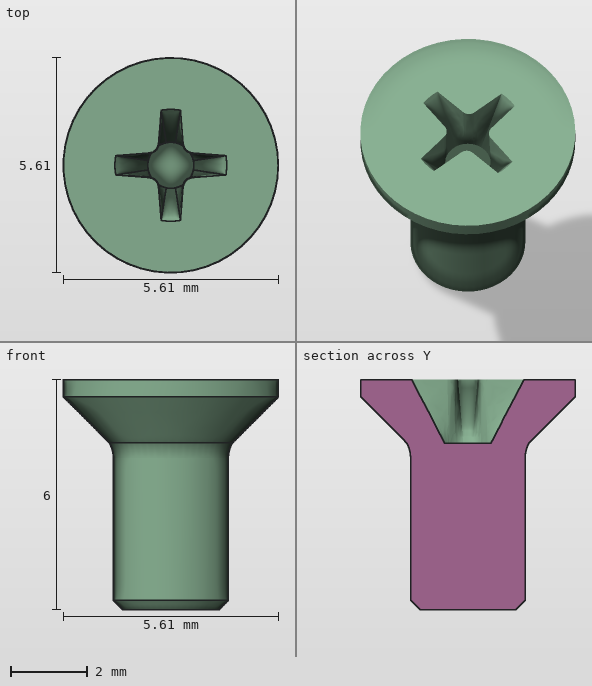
import cadquery as cq
import math

total_length = 6.0
head_radius = 5.605 / 2
rim_height = 0.45
head_height = 1.65
neck_height = 0.39
shank_radius = 1.5
tip_chamfer = 0.25

recess_depth = 1.65
floor_radius = 0.6
wing_reach = 1.46
tip_width = 0.505
flank_taper = 4.5
corner_radius = 0.23
floor_tip_width = 0.24
floor_corner_angle = 10


def make_body():
    """Revolve the half profile of the head, neck and shank."""
    rim_bottom = total_length - rim_height
    cone_bottom = total_length - head_height
    cone_bottom_radius = head_radius - (head_height - rim_height)
    shank_top = cone_bottom - neck_height
    return (
        cq.Workplane("XZ")
        .lineTo(shank_radius - tip_chamfer, 0)
        .lineTo(shank_radius, tip_chamfer)
        .lineTo(shank_radius, shank_top)
        .tangentArcPoint((cone_bottom_radius, cone_bottom), relative=False)
        .lineTo(head_radius, rim_bottom)
        .lineTo(head_radius, total_length)
        .lineTo(0, total_length)
        .close()
        .revolve(360, (0, 0, 0), (0, 1, 0))
    )


def polar(radius, angle):
    """Point at a radius and an angle in degrees."""
    return (radius * math.cos(math.radians(angle)), radius * math.sin(math.radians(angle)))


def turned(point, angle):
    """Rotate a point about the screw axis by an angle in degrees."""
    x, y = point
    return polar(math.hypot(x, y), math.degrees(math.atan2(y, x)) + angle)


def opening_wire(sketch):
    """Four wings with arched tips and rounded inner corners."""
    tip_half = tip_width / 2
    tip_x = math.sqrt(wing_reach**2 - tip_half**2)
    taper = math.radians(flank_taper)
    side_offset = tip_half + tip_x * math.tan(taper) + corner_radius / math.cos(taper)
    center = side_offset / (1 + math.tan(taper))
    root_x = center - corner_radius * math.sin(taper)
    root_half = center - corner_radius * math.cos(taper)
    corner_middle = polar(center * math.sqrt(2) - corner_radius, 45)
    sketch = sketch.moveTo(tip_x, -tip_half)
    for turn in (0, 90, 180, 270):
        sketch = (
            sketch.threePointArc(polar(wing_reach, turn), turned((tip_x, tip_half), turn))
            .lineTo(*turned((root_x, root_half), turn))
            .threePointArc(turned(corner_middle, turn), turned((root_half, root_x), turn))
            .lineTo(*turned((tip_half, tip_x), turn))
        )
    return sketch.close()


def floor_wire(sketch):
    """Floor circle, divided into arcs that match the sides of the opening."""
    tip_angle = math.degrees(math.asin(floor_tip_width / 2 / floor_radius))
    corner_start = 45 - floor_corner_angle
    corner_end = 45 + floor_corner_angle
    breaks = (-tip_angle, tip_angle, corner_start, corner_end, 90 - tip_angle)
    sketch = sketch.moveTo(*polar(floor_radius, -tip_angle))
    for turn in (0, 90, 180, 270):
        for start, end in zip(breaks, breaks[1:]):
            middle = polar(floor_radius, turn + (start + end) / 2)
            sketch = sketch.threePointArc(middle, polar(floor_radius, turn + end))
    return sketch.close()


def make_recess():
    """Straight-sided loft from the winged opening to the round floor."""
    opening = opening_wire(cq.Workplane("XY").workplane(offset=total_length))
    both = floor_wire(opening.workplane(offset=-recess_depth))
    return both.loft(ruled=True)


result = make_body().cut(make_recess())